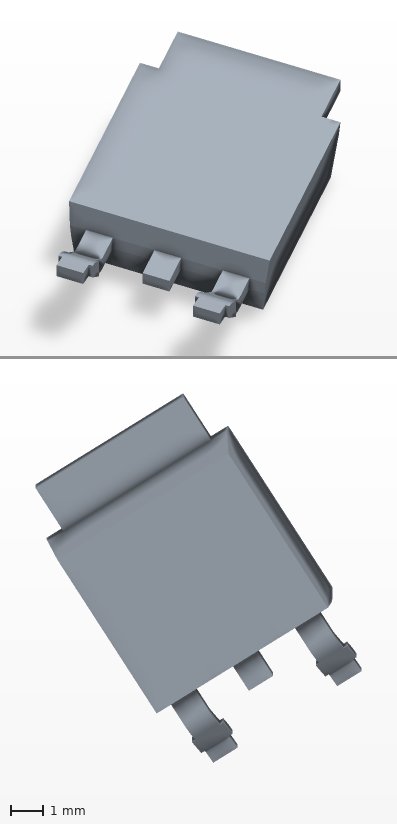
import cadquery as cq
import math


mold_top_width = 6.72
mold_bottom_width = 6.33
mold_height = 2.39
mold_rear_y = 6.24
front_top_setback = 0.14
front_bottom_setback = 0.08
rear_bottom_setback = 0.33

tab_thickness = 0.56
tab_wide = 5.45
tab_narrow = 4.1
tab_rear_y = 7.86
tab_inner_y = 2.63

lead_thickness = 0.51
lead_bottom_z = 0.92
lead_top_z = lead_bottom_z + lead_thickness
lead_width = 0.9
lead_spacing = 2.29
short_lead_length = 1.01
long_lead_length = 2.55
shoulder_width = 1.16
shoulder_start = 1.51
shoulder_end = 2.06

rise_angle = math.radians(45)
tip_angle = math.radians(15)
rise_start = 0.82
rise_end = 1.73
first_inner_radius = 0.29
second_inner_radius = 0.09


def make_tab():
    """T-shaped plate: wide behind the mold, narrow where it sits in the mold."""
    wide_length = tab_rear_y - mold_rear_y
    narrow_length = mold_rear_y - tab_inner_y
    bottom_z = mold_height - tab_thickness
    at_bottom_front = (True, False, False)
    wide = cq.Workplane(origin=(0, mold_rear_y, bottom_z)).box(
        tab_wide, wide_length, tab_thickness, centered=at_bottom_front
    )
    narrow = cq.Workplane(origin=(0, tab_inner_y, bottom_z)).box(
        tab_narrow, narrow_length, tab_thickness, centered=at_bottom_front
    )
    return wide.union(narrow)


def make_mold(tab):
    """Side profile cut to tapered flanks, with a recess matching the tab."""
    side_profile = [
        (front_bottom_setback, 0),
        (0, lead_bottom_z),
        (0, lead_top_z),
        (front_top_setback, mold_height),
        (mold_rear_y, mold_height),
        (mold_rear_y, mold_height - tab_thickness),
        (mold_rear_y - rear_bottom_setback, 0),
    ]
    flank_profile = [
        (-mold_bottom_width / 2, 0),
        (mold_bottom_width / 2, 0),
        (mold_top_width / 2, mold_height),
        (-mold_top_width / 2, mold_height),
    ]
    block = cq.Workplane("YZ").polyline(side_profile).close().extrude(mold_top_width / 2, both=True)
    flanks = cq.Workplane("XZ").polyline(flank_profile).close().extrude(-mold_rear_y)
    return block.intersect(flanks).cut(tab)


def long_lead_profile():
    """Constant-thickness strip: flat, rising, then a shallow tip with a vertical end face."""
    first_outer_radius = first_inner_radius + lead_thickness
    second_outer_radius = second_inner_radius + lead_thickness
    first_center_z = lead_top_z + first_inner_radius

    def first_bend(radius, angle):
        return (-rise_start - radius * math.sin(angle), first_center_z - radius * math.cos(angle))

    top_rise_y, top_rise_z = first_bend(first_inner_radius, rise_angle)
    rise_end_z = top_rise_z + (rise_end + top_rise_y) * math.tan(rise_angle)
    second_center_y = -rise_end - second_outer_radius * math.sin(rise_angle)
    second_center_z = rise_end_z - second_outer_radius * math.cos(rise_angle)

    def second_bend(radius, angle):
        return (second_center_y + radius * math.sin(angle), second_center_z + radius * math.cos(angle))

    def tip_point(radius):
        bend_y, bend_z = second_bend(radius, tip_angle)
        return (-long_lead_length, bend_z + (long_lead_length + bend_y) * math.tan(tip_angle))

    first_mid = rise_angle / 2
    second_mid = (rise_angle + tip_angle) / 2
    return (
        cq.Workplane("YZ")
        .moveTo(0, lead_top_z)
        .lineTo(-rise_start, lead_top_z)
        .threePointArc(
            first_bend(first_inner_radius, first_mid),
            first_bend(first_inner_radius, rise_angle),
        )
        .lineTo(*second_bend(second_outer_radius, rise_angle))
        .threePointArc(
            second_bend(second_outer_radius, second_mid),
            second_bend(second_outer_radius, tip_angle),
        )
        .lineTo(*tip_point(second_outer_radius))
        .lineTo(*tip_point(second_inner_radius))
        .lineTo(*second_bend(second_inner_radius, tip_angle))
        .threePointArc(
            second_bend(second_inner_radius, second_mid),
            second_bend(second_inner_radius, rise_angle),
        )
        .lineTo(*first_bend(first_outer_radius, rise_angle))
        .threePointArc(
            first_bend(first_outer_radius, first_mid),
            (-rise_start, lead_bottom_z),
        )
        .lineTo(0, lead_bottom_z)
        .close()
    )


def make_long_lead(center_x):
    """Bent lead with a wider shoulder around its second bend."""
    strip = long_lead_profile().extrude(lead_width / 2, both=True)
    shoulder_zone = cq.Workplane(origin=(0, -shoulder_end, 0)).box(
        shoulder_width, shoulder_end - shoulder_start, 2 * mold_height, centered=(True, False, False)
    )
    shoulder = long_lead_profile().extrude(shoulder_width / 2, both=True).intersect(shoulder_zone)
    return strip.union(shoulder).translate((center_x, 0, 0))


def make_short_lead():
    """Straight stub between the long leads."""
    return cq.Workplane(origin=(0, -short_lead_length, lead_bottom_z)).box(
        lead_width, short_lead_length, lead_thickness, centered=(True, False, False)
    )


tab = make_tab()
mold = make_mold(tab)
short_lead = make_short_lead()
long_leads = [make_long_lead(side * lead_spacing) for side in (-1, 1)]

result = cq.Compound.makeCompound(
    [mold.solids().val(), tab.solids().val(), short_lead.val(), *[lead.solids().val() for lead in long_leads]]
)